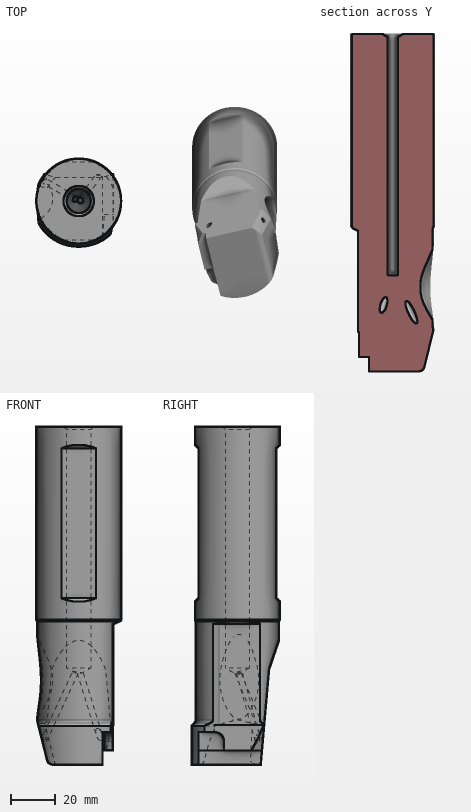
import math

import cadquery as cq

TOTAL_LENGTH = 151.4
SHANK_RADIUS = 38.1 / 2
SHANK_BOTTOM = 64.6
SHANK_STEP = 0.8
NECK_RADIUS = 18.65
HEAD_RADIUS = 20.48
HEAD_FILLET_TOP = 20.0
HEAD_FILLET_RADIUS = 1.8
FLARE_ANGLE = 45.0
REACH = 60.0

FLAT_WIDTH = 15.4
FLAT_BOTTOM = 74.6
FLAT_TOP = 141.6

FLUTE_BOTTOM_Y = 10.5
FLUTE_BEND_Z = 42.9
FLUTE_LOWER_ANGLE = 5.0
FLUTE_UPPER_ANGLE = 19.0

SIDE_X = 15.65
SIDE_BEND_Y = -8.3
SIDE_TILT = 12.0
SIDE_TOP = 63.0
HEAD_SIDE_X = 15.25
HEAD_SIDE_TOP = 17.8

SLOPE_ANGLE = 14.0
HEEL_RADIUS = 3.0
BACK_CONE_RADIUS = 14.84

SCOOP_RADIUS = 10.2
SCOOP_FLOOR_RADIUS = 20.0
SCOOP_DEPTH = 7.0
SCOOP_Y = 1.15
SCOOP_Z = 38.0
SCOOP_UPPER_ANGLE = 66.7
SCOOP_LOWER_ANGLE = 60.3

SEAT_X = 10.7
SEAT_TOP = 14.6
SEAT_BOTTOM = 6.4
SEAT_BACK_Y = -6.0
SEAT_FILLET = 4.1
SEAT_WALL_X = 11.5

PORT_RADIUS = 5.4
PORT_MOUTH_RADIUS = 6.8
PORT_DEPTH = 108.0
PORT_TIP_ANGLE = 118.0
CHANNEL_RADIUS = 1.3
CHANNEL_OVERRUN = 1.25
CHANNELS = (
    ((-0.5, 0.3), (-14.6, 8.6, 13.2)),
    ((0.0, -0.7), (9.0, 11.5, 14.0)),
)


def tangent(angle):
    return math.tan(math.radians(angle))


def sine(angle):
    return math.sin(math.radians(angle))


def cosine(angle):
    return math.cos(math.radians(angle))


def turned_body():
    """Shank, neck and enlarged head, turned about Z."""
    fillet_end_radius = NECK_RADIUS + HEAD_FILLET_RADIUS * (1 - cosine(FLARE_ANGLE))
    fillet_mid_radius = NECK_RADIUS + HEAD_FILLET_RADIUS * (1 - cosine(FLARE_ANGLE / 2))
    fillet_end_z = HEAD_FILLET_TOP - HEAD_FILLET_RADIUS * sine(FLARE_ANGLE)
    fillet_mid_z = HEAD_FILLET_TOP - HEAD_FILLET_RADIUS * sine(FLARE_ANGLE / 2)
    head_top = fillet_end_z - (HEAD_RADIUS - fillet_end_radius) / tangent(FLARE_ANGLE)
    return (
        cq.Workplane("XZ")
        .lineTo(HEAD_RADIUS, 0)
        .lineTo(HEAD_RADIUS, head_top)
        .lineTo(fillet_end_radius, fillet_end_z)
        .threePointArc((fillet_mid_radius, fillet_mid_z), (NECK_RADIUS, HEAD_FILLET_TOP))
        .lineTo(NECK_RADIUS, SHANK_BOTTOM - SHANK_STEP / 2)
        .lineTo(SHANK_RADIUS, SHANK_BOTTOM + SHANK_STEP / 2)
        .lineTo(SHANK_RADIUS, TOTAL_LENGTH)
        .lineTo(0, TOTAL_LENGTH)
        .close()
        .revolve(360, (0, 0, 0), (0, 1, 0))
    )


def clamping_flat(side):
    """Flat with 45 degree run-outs; side is +1 for +Y and -1 for -Y."""
    flat_y = math.sqrt(SHANK_RADIUS**2 - (FLAT_WIDTH / 2) ** 2)
    rise = REACH - flat_y
    return (
        cq.Workplane("YZ")
        .moveTo(side * flat_y, FLAT_BOTTOM)
        .lineTo(side * REACH, FLAT_BOTTOM - rise)
        .lineTo(side * REACH, FLAT_TOP + rise)
        .lineTo(side * flat_y, FLAT_TOP)
        .close()
        .extrude(REACH, both=True)
    )


def flute():
    """Two planes that thin the +Y side towards the cutting end."""
    bend_y = FLUTE_BOTTOM_Y + FLUTE_BEND_Z * tangent(FLUTE_LOWER_ANGLE)
    top_z = FLUTE_BEND_Z + (REACH - bend_y) / tangent(FLUTE_UPPER_ANGLE)
    return (
        cq.Workplane("YZ")
        .moveTo(FLUTE_BOTTOM_Y, 0)
        .lineTo(bend_y, FLUTE_BEND_Z)
        .lineTo(REACH, top_z)
        .lineTo(REACH, 0)
        .close()
        .extrude(REACH, both=True)
        .intersect(cq.Workplane("XY").box(2 * REACH, 2 * REACH, SHANK_BOTTOM, (True, True, False)))
    )


def side_relief():
    """Flat along the +X side that turns inwards towards -Y and ramps out below the shank."""
    tilted_x = SIDE_X - (REACH + SIDE_BEND_Y) * tangent(SIDE_TILT)
    plan = (
        cq.Workplane("XY")
        .moveTo(SIDE_X, REACH)
        .lineTo(SIDE_X, SIDE_BEND_Y)
        .lineTo(tilted_x, -REACH)
        .lineTo(REACH, -REACH)
        .close()
        .extrude(SHANK_BOTTOM)
    )
    height_limit = (
        cq.Workplane("XZ")
        .lineTo(0, SIDE_TOP)
        .lineTo(SIDE_X, SIDE_TOP)
        .lineTo(SHANK_RADIUS, SHANK_BOTTOM)
        .lineTo(REACH, SHANK_BOTTOM)
        .lineTo(REACH, 0)
        .close()
        .extrude(REACH, both=True)
    )
    head_relief = cq.Workplane("XY").box(REACH, 2 * REACH, HEAD_SIDE_TOP, (False, True, False))
    return plan.intersect(height_limit).union(head_relief.translate((HEAD_SIDE_X, 0, 0)))


def head_back():
    """Material outside the cone that tapers the +Y half of the head."""
    cone_top_radius = BACK_CONE_RADIUS + HEAD_FILLET_TOP * tangent(SLOPE_ANGLE)
    return (
        cq.Workplane("XZ")
        .moveTo(BACK_CONE_RADIUS, 0)
        .lineTo(REACH, 0)
        .lineTo(REACH, HEAD_FILLET_TOP)
        .lineTo(cone_top_radius, HEAD_FILLET_TOP)
        .close()
        .revolve(180, (0, 0, 0), (0, 1, 0))
    )


def head_slope():
    """Material outside the sloping face and its rounded heel."""
    foot_x = -NECK_RADIUS + HEAD_FILLET_TOP * tangent(SLOPE_ANGLE)
    heel_length = HEEL_RADIUS * tangent((90 - SLOPE_ANGLE) / 2)
    heel_start = (foot_x - heel_length * sine(SLOPE_ANGLE), heel_length * cosine(SLOPE_ANGLE))
    heel_end = (foot_x + heel_length, 0)
    return (
        cq.Workplane("XZ")
        .moveTo(-NECK_RADIUS, HEAD_FILLET_TOP)
        .lineTo(*heel_start)
        .tangentArcPoint(heel_end, relative=False)
        .lineTo(-REACH, 0)
        .lineTo(-REACH, HEAD_FILLET_TOP)
        .close()
        .extrude(REACH, both=True)
    )


def scoop():
    """Round cutter path that dips into the -X side of the neck and rises again."""
    bend_radius = SCOOP_FLOOR_RADIUS - SCOOP_RADIUS
    centre_x = -NECK_RADIUS + SCOOP_DEPTH - SCOOP_FLOOR_RADIUS
    upper = (
        centre_x + bend_radius * sine(SCOOP_UPPER_ANGLE),
        SCOOP_Z + bend_radius * cosine(SCOOP_UPPER_ANGLE),
    )
    lower = (
        centre_x + bend_radius * sine(SCOOP_LOWER_ANGLE),
        SCOOP_Z - bend_radius * cosine(SCOOP_LOWER_ANGLE),
    )
    start = (upper[0] - REACH * cosine(SCOOP_UPPER_ANGLE), upper[1] + REACH * sine(SCOOP_UPPER_ANGLE))
    end = (lower[0] - REACH * cosine(SCOOP_LOWER_ANGLE), lower[1] - REACH * sine(SCOOP_LOWER_ANGLE))
    path = (
        cq.Workplane("XZ", origin=(0, SCOOP_Y, 0))
        .moveTo(*start)
        .lineTo(*upper)
        .threePointArc((centre_x + bend_radius, SCOOP_Z), lower)
        .lineTo(*end)
    )
    path_direction = (cosine(SCOOP_UPPER_ANGLE), 0, -sine(SCOOP_UPPER_ANGLE))
    section_plane = cq.Plane((start[0], SCOOP_Y, start[1]), (0, 1, 0), path_direction)
    return cq.Workplane(section_plane).circle(SCOOP_RADIUS).sweep(path)


def seat():
    """Corner notch with a rounded roof and a tapered side wall, cut right through below its back wall."""
    roof_and_back = (
        cq.Workplane("YZ")
        .moveTo(-REACH, 0)
        .lineTo(-REACH, SEAT_TOP)
        .lineTo(SEAT_BACK_Y - SEAT_FILLET, SEAT_TOP)
        .radiusArc((SEAT_BACK_Y, SEAT_TOP - SEAT_FILLET), SEAT_FILLET)
        .lineTo(SEAT_BACK_Y, 0)
        .close()
        .extrude(REACH)
    )
    head_edge_y = -math.sqrt(HEAD_RADIUS**2 - SEAT_X**2)
    side_wall = (
        cq.Workplane("XY")
        .moveTo(SEAT_X, -REACH)
        .lineTo(SEAT_X, head_edge_y)
        .lineTo(SEAT_WALL_X, SEAT_BACK_Y)
        .lineTo(REACH, SEAT_BACK_Y)
        .lineTo(REACH, -REACH)
        .close()
        .extrude(SEAT_TOP)
    )
    opening = cq.Workplane("XY").box(REACH, 2 * REACH, SEAT_BOTTOM, (False, True, False))
    return roof_and_back.intersect(side_wall).union(opening.translate((SEAT_X, 0, 0)))


def coolant_port():
    """Blind drilled hole with a countersunk mouth and a drill-point tip."""
    floor = TOTAL_LENGTH - PORT_DEPTH
    tip = floor - PORT_RADIUS / tangent(PORT_TIP_ANGLE / 2)
    mouth_depth = PORT_MOUTH_RADIUS - PORT_RADIUS
    return (
        cq.Workplane("XZ")
        .moveTo(0, tip)
        .lineTo(PORT_RADIUS, floor)
        .lineTo(PORT_RADIUS, TOTAL_LENGTH - mouth_depth)
        .lineTo(PORT_MOUTH_RADIUS, TOTAL_LENGTH)
        .lineTo(0, TOTAL_LENGTH)
        .close()
        .revolve(360, (0, 0, 0), (0, 1, 0))
    )


def coolant_channel(start_xy, exit_point):
    """Straight drilling from the foot of the port to beyond the given exit point."""
    start = cq.Vector(start_xy[0], start_xy[1], TOTAL_LENGTH - PORT_DEPTH)
    run = cq.Vector(*exit_point) - start
    return cq.Workplane(cq.Solid.makeCylinder(CHANNEL_RADIUS, run.Length * CHANNEL_OVERRUN, start, run))


result = turned_body()
for flat_side in (1, -1):
    result = result.cut(clamping_flat(flat_side))
result = result.cut(flute())
result = result.cut(side_relief())
result = result.cut(head_back())
result = result.cut(head_slope())
result = result.cut(scoop())
result = result.cut(seat())
result = result.cut(coolant_port())
for channel_start, channel_exit in CHANNELS:
    result = result.cut(coolant_channel(channel_start, channel_exit))